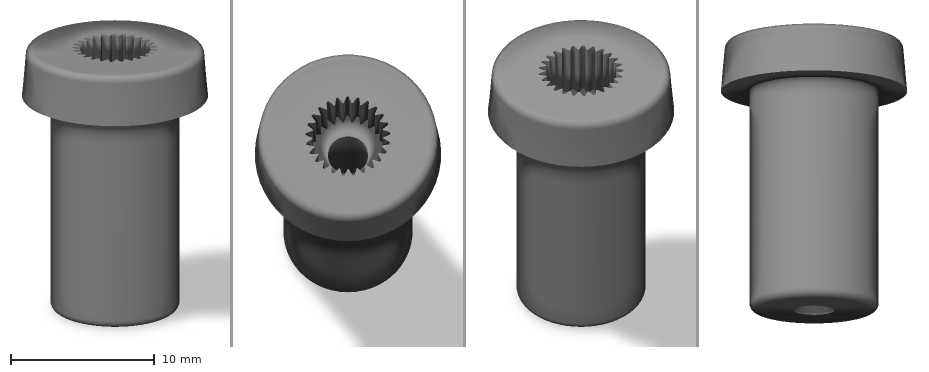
import cadquery as cq
import math

total_height = 19.16

head_height = 3.5
head_base_radius = 6.5
head_top_radius = 6.19
head_fillet = 0.5

shank_radius = 4.5
shank_fillet = 0.5

tooth_count = 25
groove_radius = 2.95
tooth_radius = 2.47
groove_flat_angle = 3.0
tooth_flat_angle = 1.8
spline_phase = -0.9
socket_depth = 3.75
hole_radius = 1.4


def polar_point(radius, angle):
    """Point at a radius and an angle in degrees from +X."""
    return (radius * math.cos(math.radians(angle)), radius * math.sin(math.radians(angle)))


def spline_points():
    """Corners of the socket outline: a trapezoidal groove between each pair of teeth."""
    pitch = 360.0 / tooth_count
    points = []
    for groove in range(tooth_count):
        middle = spline_phase + groove * pitch
        next_tooth = middle + pitch / 2
        points.append(polar_point(groove_radius, middle - groove_flat_angle / 2))
        points.append(polar_point(groove_radius, middle + groove_flat_angle / 2))
        points.append(polar_point(tooth_radius, next_tooth - tooth_flat_angle / 2))
        points.append(polar_point(tooth_radius, next_tooth + tooth_flat_angle / 2))
    return points


def make_shank():
    """Plain cylinder with a rounded lower rim."""
    shank = cq.Workplane("XY").circle(shank_radius).extrude(total_height - head_height)
    return shank.faces("<Z").edges().fillet(shank_fillet)


def make_head():
    """Tapered cap with a rounded upper rim."""
    profile = [
        (0, total_height - head_height),
        (head_base_radius, total_height - head_height),
        (head_top_radius, total_height),
        (0, total_height),
    ]
    head = cq.Workplane("XZ").polyline(profile).close().revolve(360, (0, 0, 0), (0, 1, 0))
    return head.faces(">Z").edges().fillet(head_fillet)


def make_socket():
    """Splined recess sunk from the top face."""
    top = cq.Workplane("XY").workplane(offset=total_height)
    return top.polyline(spline_points()).close().extrude(-socket_depth)


def make_screw_hole():
    """Round hole through the full height."""
    return cq.Workplane("XY").circle(hole_radius).extrude(total_height)


body = make_shank().union(make_head())
result = body.cut(make_socket()).cut(make_screw_hole())